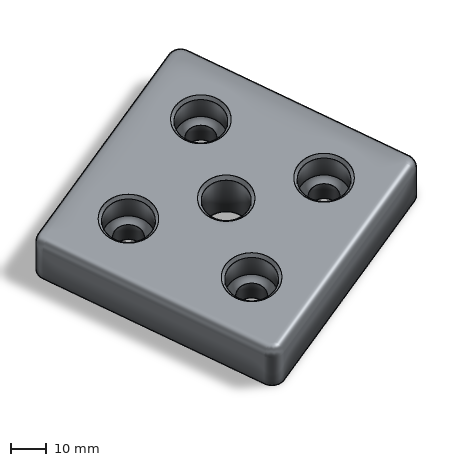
import cadquery as cq

side = 80.0
thickness = 16.0
corner_radius = 4.0
top_edge_radius = 3.0

screw_spacing = side / 2
screw_hole_diameter = 9.0
counterbore_diameter = 15.0
counterbore_depth = 9.0
counterbore_chamfer = 1.0

center_hole_diameter = 14.0
center_chamfer = 1.0


def make_plate():
    """Square plate with rounded corners and a rounded top rim."""
    plate = cq.Workplane("XY").rect(side, side).extrude(thickness)
    plate = plate.edges("|Z").fillet(corner_radius)
    return plate.faces(">Z").edges().fillet(top_edge_radius)


def make_bore(diameter, depth):
    """Cylinder reaching down from the top face at the plate center."""
    return cq.Workplane("XY").workplane(offset=thickness - depth).circle(diameter / 2).extrude(depth)


def make_chamfered_bore(diameter, depth, chamfer):
    """Bore cutter that widens at 45 degrees where it meets the top face."""
    cone = (
        cq.Workplane("XY")
        .workplane(offset=thickness - chamfer)
        .circle(diameter / 2)
        .workplane(offset=chamfer)
        .circle(diameter / 2 + chamfer)
        .loft(ruled=True)
    )
    return make_bore(diameter, depth).union(cone)


center_cutter = make_chamfered_bore(center_hole_diameter, thickness, center_chamfer)
counterbore = make_chamfered_bore(counterbore_diameter, counterbore_depth, counterbore_chamfer)
screw_cutter = counterbore.union(make_bore(screw_hole_diameter, thickness))

result = make_plate().cut(center_cutter)
for x in (-screw_spacing / 2, screw_spacing / 2):
    for y in (-screw_spacing / 2, screw_spacing / 2):
        result = result.cut(screw_cutter.translate((x, y, 0)))